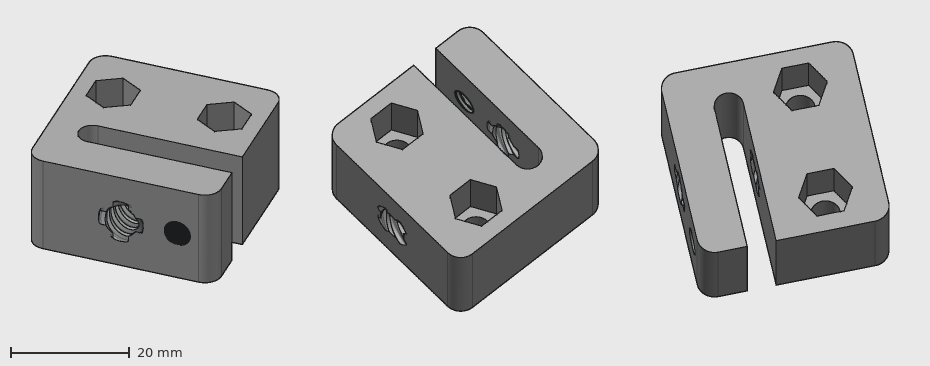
import cadquery as cq
import math

length = 34.0
width = 33.0
height = 18.0
corner_radius = 3.0

slot_width = 4.95
slot_centre_y = -6.02
slot_end_wall = 5.5

bolt_spacing = 20.0
bolt_y = 6.5
bolt_diameter = 5.05
nut_across_flats = 8.02
nut_pocket_depth = height / 2

screw_starts = 4
screw_bore_diameter = 6.0
screw_groove_diameter = 8.05
screw_groove_width = 2.8
screw_groove_corner = 0.4
screw_lead = 8.0

adjuster_x = 10.0
adjuster_thread_diameter = 5.0
adjuster_groove_depth = 0.4
adjuster_start_angle = 45
adjuster_pitch = 0.8

front_y = -width / 2


def front_plane(x):
    """Sketch plane on the front face at x, facing into the block (+Y) with its local X toward -X."""
    return cq.Plane(origin=(x, front_y, 0), xDir=(-1, 0, 0), normal=(0, 1, 0))


def block():
    return cq.Workplane("XY").box(length, width, height).edges("|Z").fillet(corner_radius)


def slot():
    radius = slot_width / 2
    start_x = -length / 2 + slot_end_wall + radius
    run = length / 2 - start_x
    channel = cq.Workplane("XY").box(run, slot_width, height, centered=(False, True, True))
    rounded_end = cq.Workplane("XY").circle(radius).extrude(height / 2, both=True)
    return channel.union(rounded_end).translate((start_x, slot_centre_y, 0))


def bolt_hole(x):
    shank = cq.Workplane("XY").circle(bolt_diameter / 2).extrude(height / 2, both=True)
    across_corners = nut_across_flats / math.cos(math.pi / 6)
    pocket = (
        cq.Workplane("XY", origin=(0, 0, height / 2))
        .transformed(rotate=(0, 0, 90))
        .polygon(6, across_corners)
        .extrude(-nut_pocket_depth)
    )
    return shank.union(pocket).translate((x, bolt_y, 0))


def lead_screw_thread():
    """Right-hand grooves around a plain bore, running the whole width of the block."""
    groove_pair = (
        cq.Sketch()
        .rect(screw_groove_diameter, screw_groove_width)
        .circle(screw_groove_diameter / 2, mode="i")
        .vertices()
        .fillet(screw_groove_corner)
        .reset()
    )
    profile = cq.Sketch().circle(screw_bore_diameter / 2)
    for pair in range(screw_starts // 2):
        profile = profile.face(groove_pair, angle=pair * 360 / screw_starts)
    turn = 360 * width / screw_lead
    return cq.Workplane(front_plane(0)).placeSketch(profile.clean()).twistExtrude(width, turn)


def adjuster_thread():
    """An off-centre circle twisted about the screw axis, which leaves a single-start groove."""
    depth = slot_centre_y - front_y
    offset = adjuster_groove_depth / 2
    turn = 360 * depth / adjuster_pitch
    start = math.radians(adjuster_start_angle)
    return (
        cq.Workplane(front_plane(adjuster_x))
        .moveTo(-offset * math.cos(start), offset * math.sin(start))
        .circle(adjuster_thread_diameter / 2 - offset)
        .twistExtrude(depth, turn)
    )


result = block().cut(slot())
for side in (-1, 1):
    result = result.cut(bolt_hole(side * bolt_spacing / 2))
result = result.cut(lead_screw_thread()).cut(adjuster_thread())